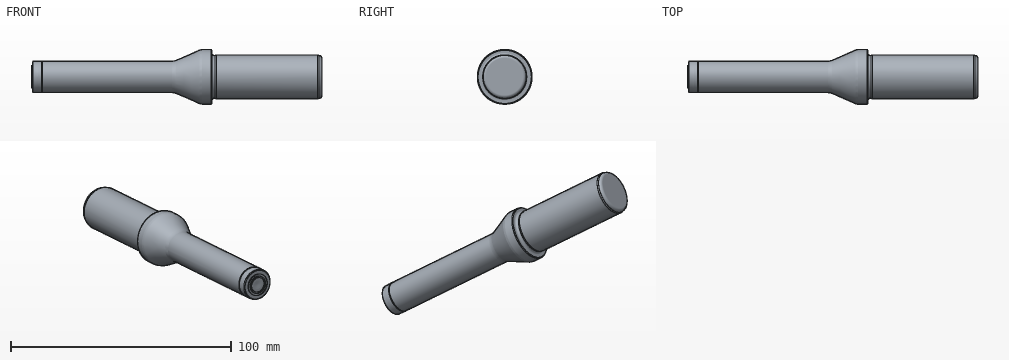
import cadquery as cq
import math

overall_length = 132.0
tip_x = -overall_length / 2

head_length = 4.8
head_diameter = 14.4
head_edge_chamfer = 0.4
head_band_end = 3.0
head_band_diameter = 14.3
seam_chamfer = 0.2

pad_diameter = 10.2
pad_height = 0.4
ring_outer_diameter = 8.2
ring_inner_diameter = 6.9
ring_depth = 0.3
centre_diameter = 4.1
centre_angle = 170.0

bar_diameter = head_diameter
cone_start = 65.0
cone_end = 77.0
cone_root_radius = 4.8
cone_top_radius = 3.2
collar_diameter = 25.0
collar_end = 82.0
collar_chamfer = 0.4
neck_diameter = 19.5
neck_end = 83.3
neck_fillet = 1.0
shank_diameter = 20.0
shank_start = 84.1
shank_taper_start = 129.9
shank_end_diameter = 19.5
shank_end_fillet = 1.3
shank_taper_end = 130.5


def turned(outline):
    """Revolve (distance from tip, diameter) points about the X axis."""
    points = [(tip_x + x, diameter / 2) for x, diameter in outline]
    start = (points[0][0], 0)
    end = (points[-1][0], 0)
    profile = cq.Workplane("XY").polyline([start, *points, end]).close()
    return profile.revolve(360, (0, 0, 0), (1, 0, 0))


def round_edge(body, x, diameter, radius):
    """Fillet the circular edge of this diameter at this distance from the tip."""
    tolerance = 0.01
    edges = [
        edge for edge in body.edges("%CIRCLE").vals()
        if abs(edge.Center().x - tip_x - x) < tolerance
        and abs(edge.radius() - diameter / 2) < tolerance
    ]
    return body.newObject(edges).fillet(radius)


def make_head():
    head = turned([
        (0, pad_diameter),
        (pad_height, pad_diameter),
        (pad_height, head_band_diameter - 2 * head_edge_chamfer),
        (pad_height + head_edge_chamfer, head_band_diameter),
        (head_band_end, head_diameter),
        (head_length - seam_chamfer, head_diameter),
        (head_length, head_diameter - 2 * seam_chamfer),
    ])
    ring_groove = (
        cq.Workplane("YZ", origin=(tip_x, 0, 0))
        .circle(ring_outer_diameter / 2)
        .circle(ring_inner_diameter / 2)
        .extrude(ring_depth)
    )
    centre_depth = centre_diameter / 2 / math.tan(math.radians(centre_angle / 2))
    centre_cone = cq.Workplane(cq.Solid.makeCone(
        centre_diameter / 2, 0, centre_depth, cq.Vector(tip_x, 0, 0), cq.Vector(1, 0, 0)
    ))
    return head.cut(ring_groove).cut(centre_cone)


def make_holder():
    holder = turned([
        (head_length, bar_diameter - 2 * seam_chamfer),
        (head_length + seam_chamfer, bar_diameter),
        (cone_start, bar_diameter),
        (cone_end, collar_diameter),
        (collar_end - collar_chamfer, collar_diameter),
        (collar_end, collar_diameter - 2 * collar_chamfer),
        (collar_end, neck_diameter),
        (neck_end, neck_diameter),
        (shank_start, shank_diameter),
        (shank_taper_start, shank_diameter),
        (shank_taper_end, shank_end_diameter),
        (overall_length, shank_end_diameter),
    ])
    rounded_edges = [
        (cone_start, bar_diameter, cone_root_radius),
        (cone_end, collar_diameter, cone_top_radius),
        (collar_end, neck_diameter, neck_fillet),
        (overall_length, shank_end_diameter, shank_end_fillet),
    ]
    for x, diameter, radius in rounded_edges:
        holder = round_edge(holder, x, diameter, radius)
    return holder


head = make_head()
holder = make_holder()
result = cq.Compound.makeCompound([head.val(), holder.val()])